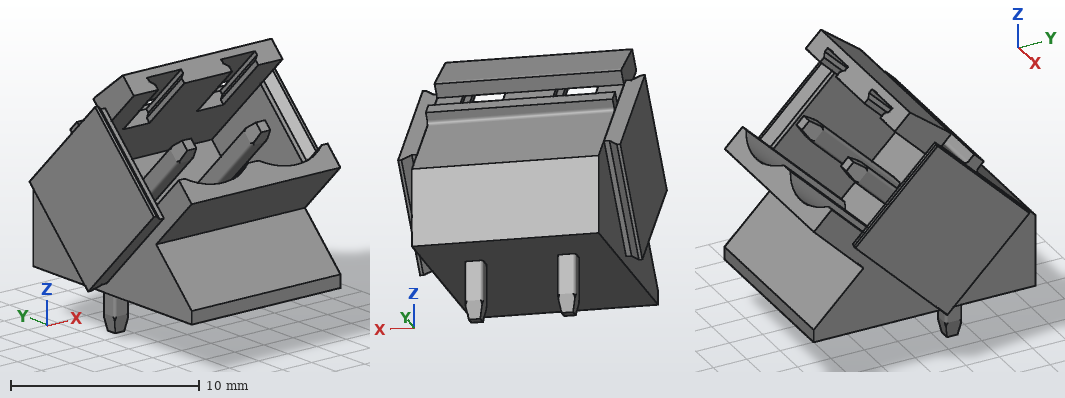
import cadquery as cq
import math

DIAGONAL = math.sqrt(2)

pin_count = 2
pin_pitch = 5.08
pin_width = 1.0
pin_corner_radius = 0.15
pin_tip_length = 0.99
pin_tip_width = 0.63
pin_axis_v = 1.82
pin_end_u = 10.5
pin_end_z = -3.18
pin_positions = [(i - (pin_count - 1) / 2) * pin_pitch for i in range(pin_count)]

body_width = 10.22
base_back_y = 3.8
base_length = 13.3
base_front_y = base_back_y - base_length
base_step_u = 7.25

back_v = 5.74
rim_u = 11.45
floor_u = 3.07
upper_wall_inner_v = 4.9
upper_wall_rim_v = 6.2
upper_wall_thick_v = 6.58
upper_wall_end_u = 8.34
upper_wall_flat = 0.24
lower_wall_inner_v = -0.44
lower_wall_outer_v = -1.96

rib_start_u = 5.42
rib_width = 0.81
rib_height = 0.69
rib_root_radius = 0.22

slot_end_u = 7.32
slot_width = 1.8
slot_wide_width = 2.32
slot_wide_height = 0.25

scallop_width = 4.34
scallop_depth = 0.75

plate_start_u = 1.55
plate_length_u = 7.79
plate_top_v = 5.7
plate_bottom_v = -1.27
plate_neck = 0.3
plate_slope = 0.49
plate_edge = 0.19
plate_thickness = plate_neck + plate_slope + plate_edge


def side_plane():
    """Plane across the part: its x is U, its y is V, and it faces -X."""
    return cq.Workplane(cq.Plane((0, 0, 0), (0, -1, 1), (-1, 0, 0)))


def plane_facing_u(u):
    """Plane at a given U, facing along U: its x is X and its y is V."""
    return cq.Workplane(cq.Plane((0, -u / DIAGONAL, u / DIAGONAL), (1, 0, 0), (0, -1, 1)))


def point_at_yz(y, z):
    """U and V of a point given by its Y and Z."""
    return ((z - y) / DIAGONAL, (z + y) / DIAGONAL)


def point_at_uv(u, v):
    """X, Y and Z of the point with the given U and V on X = 0."""
    return (0, (v - u) / DIAGONAL, (v + u) / DIAGONAL)


def make_body():
    rib_end_u = rib_start_u + rib_width
    outline = [
        point_at_yz(base_back_y, 0),
        point_at_yz(base_front_y, 0),
        (base_step_u, base_front_y * DIAGONAL + base_step_u),
        (base_step_u, lower_wall_outer_v),
        (rim_u, lower_wall_outer_v),
        (rim_u, upper_wall_rim_v),
        (upper_wall_end_u + upper_wall_flat, upper_wall_thick_v),
        (upper_wall_end_u, upper_wall_thick_v),
        (upper_wall_end_u, back_v),
        (rib_end_u, back_v),
        (rib_end_u, back_v + rib_height),
        (rib_start_u, back_v + rib_height),
        (rib_start_u, back_v),
        (back_v - base_back_y * DIAGONAL, back_v),
    ]
    body = side_plane().polyline(outline).close().extrude(body_width / 2, both=True)
    for root_u in (rib_start_u, rib_end_u):
        root = cq.selectors.NearestToPointSelector(point_at_uv(root_u, back_v))
        body = body.edges(root).fillet(rib_root_radius)
    return body


def make_side_plate(side):
    """Side plate on the -X side (side = -1) or the +X side (side = 1)."""
    plate_end_u = plate_start_u + plate_length_u
    inner_x = side * body_width / 2
    slope_x = inner_x + side * plate_neck
    edge_x = slope_x + side * plate_slope
    outer_x = inner_x + side * plate_thickness
    outline = [
        (inner_x, plate_start_u + plate_slope),
        (slope_x, plate_start_u + plate_slope),
        (edge_x, plate_start_u),
        (outer_x, plate_start_u),
        (outer_x, plate_end_u),
        (edge_x, plate_end_u),
        (slope_x, plate_end_u - plate_slope),
        (inner_x, plate_end_u - plate_slope),
    ]
    plane = cq.Plane(point_at_uv(0, plate_top_v), (1, 0, 0), (0, -1, -1))
    return cq.Workplane(plane).polyline(outline).close().extrude(plate_top_v - plate_bottom_v)


def make_cavity():
    """Socket space, open across the whole width of the body."""
    outline = [
        (floor_u, lower_wall_inner_v),
        (rim_u, lower_wall_inner_v),
        (rim_u, upper_wall_inner_v),
        (floor_u, upper_wall_inner_v),
    ]
    return side_plane().polyline(outline).close().extrude(body_width / 2, both=True)


def make_slot(x):
    """Keyed slot in the upper wall, widening towards the back face."""
    narrow = slot_width / 2
    wide = slot_wide_width / 2
    wide_v = back_v - slot_wide_height
    taper_v = wide_v - (wide - narrow)
    outline = [
        (x - narrow, upper_wall_inner_v),
        (x + narrow, upper_wall_inner_v),
        (x + narrow, taper_v),
        (x + wide, wide_v),
        (x + wide, back_v),
        (x - wide, back_v),
        (x - wide, wide_v),
        (x - narrow, taper_v),
    ]
    return plane_facing_u(slot_end_u).polyline(outline).close().extrude(rim_u - slot_end_u)


def make_scallop(x):
    """Round hollow in the inner face of the lower wall."""
    half = scallop_width / 2
    return (
        plane_facing_u(floor_u)
        .moveTo(x - half, lower_wall_inner_v)
        .threePointArc((x, lower_wall_inner_v - scallop_depth), (x + half, lower_wall_inner_v))
        .close()
        .extrude(rim_u - floor_u)
    )


def pin_section():
    """Square pin section with rounded corners."""
    return cq.Sketch().rect(pin_width, pin_width).vertices().fillet(pin_corner_radius)


def make_pin_tip(start, direction):
    """Tapered tip whose wide end is centred on start and which points along direction."""
    plane = cq.Plane(start, (1, 0, 0), direction)
    taper = (
        cq.Workplane(plane)
        .rect(pin_width, pin_width)
        .workplane(offset=pin_tip_length)
        .rect(pin_tip_width, pin_tip_width)
        .loft(ruled=True)
    )
    return taper.intersect(cq.Workplane(plane).placeSketch(pin_section()).extrude(pin_tip_length))


def make_pin(x):
    """Bent pin: a vertical leg below and a tilted leg in the socket, mitred where they meet."""
    lower_start = (x, 0, pin_end_z + pin_tip_length)
    bend = (x, 0, pin_axis_v * DIAGONAL)
    tip_start_u = pin_end_u - pin_tip_length
    upper_start = (x, *point_at_uv(tip_start_u, pin_axis_v)[1:])
    path = cq.Workplane("XY").polyline([lower_start, bend, upper_start])
    legs = (
        cq.Workplane("XY", origin=lower_start)
        .placeSketch(pin_section())
        .sweep(path, transition="right")
    )
    lower_tip = make_pin_tip(lower_start, (0, 0, -1))
    upper_tip = make_pin_tip(upper_start, (0, -1, 1))
    return legs.union(lower_tip).union(upper_tip)


def make_housing():
    housing = make_body().cut(make_cavity())
    for side in (-1, 1):
        housing = housing.union(make_side_plate(side))
    for x in pin_positions:
        housing = housing.cut(make_slot(x)).cut(make_scallop(x))
    return housing


pins = [make_pin(x) for x in pin_positions]
housing = make_housing()
for pin in pins:
    housing = housing.cut(pin)

housing_solid = housing.solids().val()
pin_solids = [pin.solids().val() for pin in pins]
result = cq.Compound.makeCompound([housing_solid, *pin_solids])